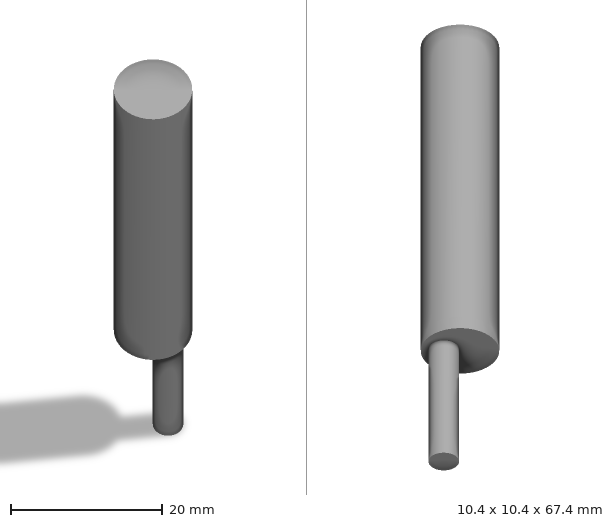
import cadquery as cq

total_length = 67.4
body_diameter = 10.4
end_cap_length = 1.8
pin_length = 18.2
pin_diameter = 4.05
pin_offset_x = 2.15
pin_offset_y = -0.3

sleeve_length = total_length - pin_length - end_cap_length

end_cap = cq.Workplane("XY").circle(body_diameter / 2).extrude(end_cap_length)

sleeve = (
    cq.Workplane("XY")
    .workplane(offset=end_cap_length)
    .circle(body_diameter / 2)
    .extrude(sleeve_length)
)

pin = (
    cq.Workplane("XY")
    .center(pin_offset_x, pin_offset_y)
    .circle(pin_diameter / 2)
    .extrude(-pin_length)
)

result = end_cap.union(sleeve, clean=False).union(pin, clean=False)